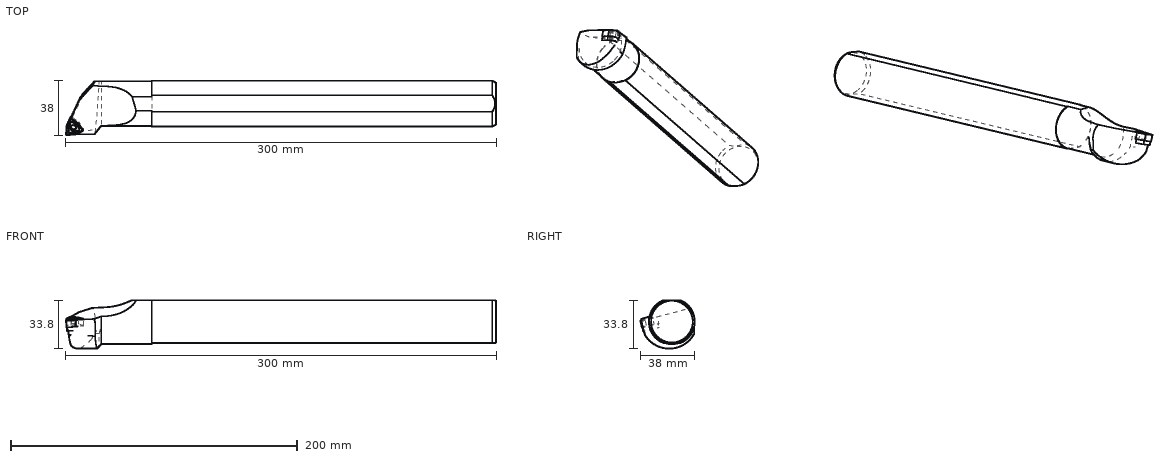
import cadquery as cq
import math

length = 300.0

shank_radius = 32.0 / 2
flat_height = 15.0
shank_start = 60.0
end_chamfer_length = 2.7
end_chamfer_depth = 1.5

neck_radius = 31.5 / 2
head_radius = 19.8
head_center_y = -1.8
head_center_z = 1.0
cone_end = 24.5
cone_angle = 50.0

overall_width = 38.0
tip_y = shank_radius - overall_width
tip_z = 0.5
slope_along_x = 0.06
slope_along_y = 0.23

lead_setback = 0.75
side_setback = 0.5
flank_point = (4.0, 12.5)
flank_angle = 25.0
back_corner_y = 25.2
back_angle = 42.0
corner_radius = 1.8
upper_face_height = 7.5
lower_face_draft = 5.0

runout_start = 28.5
runout_radius = 34.5

inscribed_radius = 9.5 / 2
nose_angle = 80.0
nose_radius = 0.8
edge_lead = 5.0
insert_thickness = 4.8
insert_hole_diameter = 4.0
breaker_land = 0.45
breaker_width = 1.2
breaker_depth = 0.3

shim_thickness = 2.7
shim_inset = 0.3

reach = 75.0

cutting_plane = cq.Plane(
    origin=(0, tip_y, tip_z),
    xDir=(1, 0, slope_along_x),
    normal=(-slope_along_x, -slope_along_y, 1),
)


def cutting_layer(depth):
    """Workplane parallel to the cutting plane, the given depth below it."""
    return cq.Workplane(cutting_plane).workplane(offset=-depth)


def make_shank():
    """Chamfered round bar with flats above and below."""
    round_bar = (
        cq.Workplane("XY")
        .moveTo(shank_start, 0)
        .lineTo(shank_start, shank_radius)
        .lineTo(length - end_chamfer_length, shank_radius)
        .lineTo(length, shank_radius - end_chamfer_depth)
        .lineTo(length, 0)
        .close()
        .revolve(360, (0, 0, 0), (1, 0, 0))
    )
    flats = cq.Workplane("XY").box(2 * length, 4 * shank_radius, 2 * flat_height)
    return round_bar.intersect(flats)


def make_head_blank():
    """Neck with its top flat, joined to the eccentric head; the back side is no wider than the neck."""
    neck = cq.Workplane("YZ").circle(neck_radius).extrude(shank_start)
    below_flat = cq.Workplane("XY").box(2 * length, 4 * neck_radius, reach).translate(
        (0, 0, flat_height - reach / 2)
    )
    cone_radius = neck_radius + cone_end * math.tan(math.radians(cone_angle))
    cone = (
        cq.Workplane("XY")
        .polyline([(0, 0), (0, cone_radius), (cone_end, neck_radius), (cone_end, 0)])
        .close()
        .revolve(360, (0, 0, 0), (1, 0, 0))
    )
    head = (
        cq.Workplane("YZ")
        .center(head_center_y, head_center_z)
        .circle(head_radius)
        .extrude(cone_end)
        .intersect(cone)
    )
    back_arc_middle = math.sqrt(0.5) * neck_radius
    back_side = (
        cq.Workplane("YZ")
        .moveTo(-reach, -reach)
        .lineTo(neck_radius, -reach)
        .lineTo(neck_radius, 0)
        .threePointArc((back_arc_middle, back_arc_middle), (0, neck_radius))
        .lineTo(-reach, neck_radius)
        .close()
        .extrude(cone_end)
    )
    return neck.union(head.intersect(back_side)).intersect(below_flat)


def end_face_outline(layer):
    """Head outline on the cutting plane: lead, flank and back faces, open behind."""
    lead_slope = math.tan(math.radians(edge_lead))
    flank_slope = math.tan(math.radians(flank_angle))
    back_slope = math.tan(math.radians(back_angle))
    flank_x, flank_y = flank_point
    flank_foot_x = flank_x - flank_slope * flank_y
    lead_top_y = (lead_setback - flank_foot_x) / (flank_slope - lead_slope)
    lead_top_x = lead_setback + lead_slope * lead_top_y
    back_corner_x = flank_foot_x + flank_slope * back_corner_y
    back_end_x = back_corner_x + back_slope * (reach - back_corner_y)
    return layer.polyline([
        (lead_setback + lead_slope * side_setback, side_setback),
        (lead_top_x, lead_top_y),
        (back_corner_x, back_corner_y),
        (back_end_x, reach),
        (2 * reach, reach),
        (2 * reach, side_setback),
    ]).close().offset2D(-corner_radius).offset2D(corner_radius)


def make_end_faces():
    """Space inside the end faces: upright near the cutting plane, drafted below."""
    upper = end_face_outline(cutting_layer(upper_face_height)).extrude(upper_face_height + reach)
    lower = end_face_outline(cutting_layer(upper_face_height)).extrude(-reach / 2, taper=lower_face_draft)
    return upper.union(lower)


def make_scoop():
    """Space above the cutting plane, rising at the back in a round run-out."""
    side_plane = cq.Plane(
        origin=cutting_plane.origin.toTuple(),
        xDir=cutting_plane.xDir.toTuple(),
        normal=(-cutting_plane.yDir).toTuple(),
    )
    bend = math.sqrt(0.5) * runout_radius
    return (
        cq.Workplane(side_plane)
        .moveTo(-runout_start, 0)
        .lineTo(runout_start, 0)
        .threePointArc(
            (runout_start + bend, runout_radius - bend),
            (runout_start + runout_radius, runout_radius),
        )
        .lineTo(-runout_start, runout_radius)
        .close()
        .extrude(reach, both=True)
    )


def nose_distance(inset=0.0):
    """Distance from the insert axis to a sharp nose of the trigon."""
    return (inscribed_radius - inset) / math.sin(math.radians(nose_angle / 2))


def trigon_prism(depth, inset=0.0):
    """Trigon prism centred on the Z axis, its top at Z = 0 and its first nose toward -X, -Y."""
    side_distance = (inscribed_radius - inset) / math.sin(math.radians(nose_angle))
    mean_distance = (nose_distance(inset) + side_distance) / 2
    tip_direction = 180 + edge_lead + nose_angle / 2
    points = []
    for corner in range(3):
        for distance, turn in ((nose_distance(inset), 0), (side_distance, 60)):
            angle = math.radians(tip_direction + 120 * corner + turn)
            points.append((distance * math.cos(angle), distance * math.sin(angle)))
    prism = cq.Workplane("XY").polyline(points).close().extrude(-depth)
    nose_edges = prism.edges("|Z").filter(
        lambda edge: math.hypot(edge.Center().x, edge.Center().y) > mean_distance
    )
    return nose_edges.fillet(nose_radius)


def place_on_tip(shape):
    """Move a shape centred on the insert axis to its place behind the cutting tip."""
    nose_center_distance = nose_distance(nose_radius)
    inward_direction = math.radians(edge_lead + nose_angle / 2)
    center = (
        nose_radius + nose_center_distance * math.cos(inward_direction),
        nose_radius + nose_center_distance * math.sin(inward_direction),
        0,
    )
    return cq.Workplane(shape.translate(center).val().moved(cutting_plane.location))


def make_insert():
    """Trigon insert with a chip-breaker groove and a through hole."""
    breaker = trigon_prism(breaker_depth, breaker_land).cut(
        trigon_prism(breaker_depth, breaker_land + breaker_width)
    )
    hole = cq.Workplane("XY").circle(insert_hole_diameter / 2).extrude(-insert_thickness)
    return place_on_tip(trigon_prism(insert_thickness).cut(breaker).cut(hole))


def make_shim():
    """Trigon shim directly below the insert."""
    shim = trigon_prism(shim_thickness, shim_inset).translate((0, 0, -insert_thickness))
    return place_on_tip(shim)


def make_holder():
    """Shank, neck, head and shim as one solid, with a seat that fits the insert."""
    head = make_head_blank().intersect(make_end_faces()).cut(make_scoop())
    seat = place_on_tip(trigon_prism(insert_thickness))
    return make_shank().union(head).union(make_shim()).cut(seat)


holder = make_holder().solids()
insert = make_insert().solids()

result = cq.Compound.makeCompound([holder.val(), insert.val()])